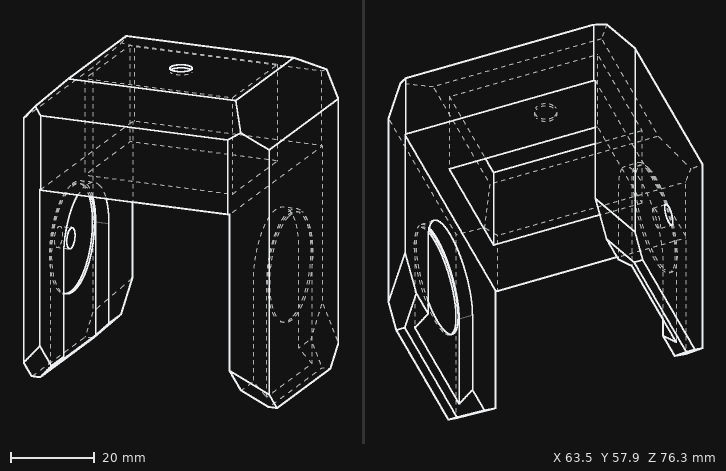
import cadquery as cq

width = 63.5
depth = 57.9
height = 76.35

corner_chamfer = 7.55
side_bevel = 10.1
end_bevel_run = 11.0
end_bevel_drop = 6.25
foot_chamfer = 12.45

arm_thickness = 7.25
bridge_thickness = 25.0
inner_foot_chamfer = 5.05
slot_width = width - 2 * arm_thickness
slot_height = height - bridge_thickness

top_hole_diameter = 5.35
side_hole_diameter = 5.1
hole_height = 30.1

channel_width = 28.0
channel_depth = 3.4
seat_diameter = 26.65
seat_depth = 0.5

hollow_length = 38.2
hollow_width = channel_width
top_skin = 0.8


def front_profile():
    """Arch outline in XZ, extruded through the full depth."""
    outer_x = width / 2
    inner_x = slot_width / 2
    right_half = [
        (outer_x - side_bevel, height),
        (outer_x, height - side_bevel),
        (outer_x, 0),
        (inner_x + inner_foot_chamfer, 0),
        (inner_x, inner_foot_chamfer),
        (inner_x, slot_height),
    ]
    left_half = [(-x, z) for x, z in reversed(right_half)]
    outline = cq.Workplane("XZ").polyline(right_half + left_half).close()
    return outline.extrude(depth / 2, both=True)


def side_profile():
    """Outline in YZ with sloped top ends and chamfered feet."""
    outer_y = depth / 2
    right_half = [
        (outer_y - end_bevel_run, height),
        (outer_y, height - end_bevel_drop),
        (outer_y, foot_chamfer),
        (outer_y - foot_chamfer, 0),
    ]
    left_half = [(-y, z) for y, z in reversed(right_half)]
    outline = cq.Workplane("YZ").polyline(right_half + left_half).close()
    return outline.extrude(width / 2, both=True)


def plan_profile():
    """Rectangular prism with chamfered vertical corners."""
    block = cq.Workplane("XY").rect(width, depth).extrude(height)
    return block.edges("|Z").chamfer(corner_chamfer)


def arm_recess(direction):
    """Arched channel and round seat; direction is +1 or -1 along X."""
    inner_face = cq.Workplane("YZ", origin=(direction * slot_width / 2, 0, 0))
    half_width = channel_width / 2
    channel = (
        inner_face.moveTo(-half_width, 0)
        .lineTo(half_width, 0)
        .lineTo(half_width, hole_height)
        .threePointArc((0, hole_height + half_width), (-half_width, hole_height))
        .close()
        .extrude(direction * channel_depth)
    )
    seat = (
        inner_face.center(0, hole_height)
        .circle(seat_diameter / 2)
        .extrude(direction * (channel_depth + seat_depth))
    )
    return channel.union(seat)


body = front_profile().intersect(side_profile()).intersect(plan_profile())

hollow = cq.Workplane("XY").rect(hollow_length, hollow_width).extrude(height - top_skin)
top_hole = cq.Workplane("XY").circle(top_hole_diameter / 2).extrude(height)
body = body.cut(hollow).cut(top_hole)

for direction in (-1, 1):
    body = body.cut(arm_recess(direction))

side_hole = (
    cq.Workplane("YZ", origin=(-width / 2, 0, hole_height))
    .circle(side_hole_diameter / 2)
    .extrude(width / 2)
)
result = body.cut(side_hole)